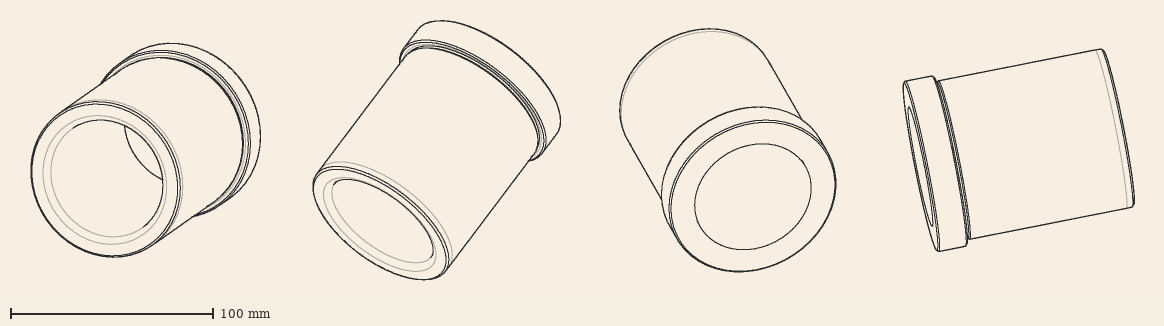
import cadquery as cq

length = 100.0
head_radius = 43.0
head_length = 15.0
head_chamfer = 0.8
body_radius = 40.0
bore_radius = 30.0
bore_mouth_radius = 3.0

groove_depth = 0.5
groove_floor_width = 1.2
groove_slope_length = 0.7
face_relief_radius = 40.7
face_relief_depth = 0.2

lead_length = 4.0
lead_reduction = 0.1
end_chamfer = 1.0

head_front = length - head_length
groove_front = head_front - groove_floor_width

lead_radius = body_radius - lead_reduction
groove_radius = body_radius - groove_depth


def outer_body():
    """Revolve the stepped outer outline (radius, Y) about the Y axis."""
    outline = (
        cq.Workplane("XY")
        .moveTo(0, 0)
        .lineTo(lead_radius - end_chamfer, 0)
        .lineTo(lead_radius, end_chamfer)
        .lineTo(body_radius, lead_length)
        .lineTo(body_radius, groove_front - groove_slope_length)
        .lineTo(groove_radius, groove_front)
        .lineTo(groove_radius, head_front + face_relief_depth)
        .lineTo(face_relief_radius, head_front)
        .lineTo(head_radius - head_chamfer, head_front)
        .lineTo(head_radius, head_front + head_chamfer)
        .lineTo(head_radius, length - head_chamfer)
        .lineTo(head_radius - head_chamfer, length)
        .lineTo(0, length)
        .close()
    )
    return outline.revolve(360, (0, 0, 0), (0, 1, 0))


def bore():
    """Through bore along Y."""
    return cq.Workplane("XZ").circle(bore_radius).extrude(-length)


bush = outer_body().cut(bore())

bore_mouth = bush.faces("<Y").edges(cq.selectors.RadiusNthSelector(0))
result = bore_mouth.fillet(bore_mouth_radius)